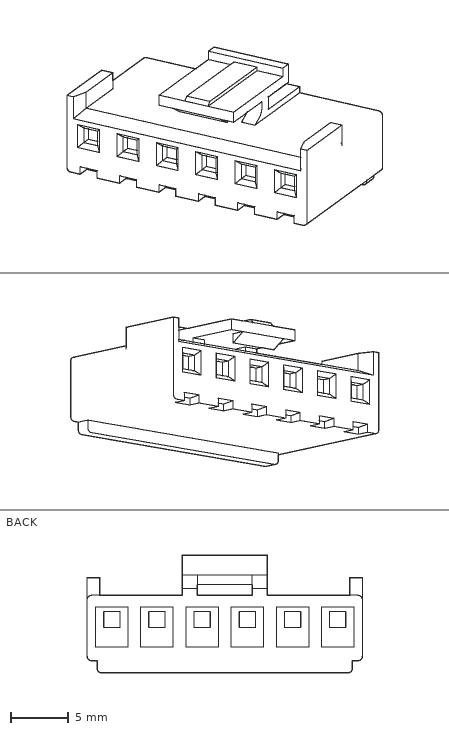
import cadquery as cq

WIDTH = 24.1
DEPTH = 13.5
DECK_HEIGHT = 5.73
EDGE_RADIUS = 0.4

WALL_HEIGHT = 7.28
WALL_LENGTH = 6.22
WALL_THICKNESS = 1.13
WALL_TIP_THICKNESS = 0.65

LEAD_IN_LENGTH = 1.45
LEAD_IN_DROP = 0.55

CONTACT_COUNT = 6
CONTACT_PITCH = 3.95
CONTACT_HEIGHT = 3.61
CONTACT_SIZE = 1.4
CONTACT_MOUTH = 2.2
MOUTH_DEPTH = 0.4
NECK_LENGTH = 0.8
CAVITY_WIDTH = 2.85
CAVITY_FLOOR = 1.2
CAVITY_CEILING = 4.7
NOTCH_WIDTH = 1.69
NOTCH_HEIGHT = 0.72
NOTCH_INNER_HEIGHT = 0.6
NOTCH_LENGTH = 1.2

LIP_WIDTH = 22.33
LIP_LENGTH = 1.28
LIP_DROP = 1.05

LATCH_WIDTH = 7.47
LEG_WIDTH = 1.35
RIB_TOP = 6.3
LEG_FRONT = 6.72
LEG_BACK = 7.9
LEG_TOE_FRONT = 5.47
LEG_TOE_BACK = 6.15
LEG_TOE_HEIGHT = 6.07
LEG_ARC_HEIGHT = 6.95
LEG_ARC_MID = (6.55, 6.4)
LEVER_FRONT = 1.69
LEVER_BACK = 11.5
LEVER_BOTTOM = 7.5
LEVER_TOP = 8.45
GRIP_LENGTH = 1.04
GRIP_TOP = 9.25
RIDGE_WIDTH = 2.31
RIDGE_HEIGHT = 0.34
CATCH_LENGTH = 1.28
CATCH_DROP = 0.82


def along_x(points, width):
    """Extrude a closed (y, z) outline across x, centred on x = 0."""
    return cq.Workplane("YZ").polyline(points).close().extrude(width / 2, both=True)


def block(width, y_range, z_range):
    """Box centred on x = 0 between the given y and z limits."""
    y0, y1 = y_range
    z0, z1 = z_range
    return cq.Workplane("XY").box(width, y1 - y0, z1 - z0, (True, False, False)).translate((0, y0, z0))


def housing():
    body = block(WIDTH, (0, DEPTH), (0, DECK_HEIGHT)).edges("|Y").fillet(EDGE_RADIUS)
    front = block(WIDTH, (0, WALL_LENGTH), (0, WALL_HEIGHT)).edges("|Y and <Z").fillet(EDGE_RADIUS)
    inner = WIDTH / 2 - WALL_THICKNESS
    inner_tip = WIDTH / 2 - WALL_TIP_THICKNESS
    channel = (
        cq.Workplane("XY", origin=(0, 0, DECK_HEIGHT - LEAD_IN_DROP))
        .polyline([
            (-inner_tip, 0), (inner_tip, 0), (inner, LEAD_IN_LENGTH),
            (inner, WALL_LENGTH), (-inner, WALL_LENGTH), (-inner, LEAD_IN_LENGTH),
        ])
        .close()
        .extrude(WALL_HEIGHT)
    )
    floor = along_x([
        (0, 0), (0, DECK_HEIGHT - LEAD_IN_DROP), (LEAD_IN_LENGTH, DECK_HEIGHT),
        (WALL_LENGTH, DECK_HEIGHT), (WALL_LENGTH, 0),
    ], WIDTH)
    rear = body.intersect(block(WIDTH, (WALL_LENGTH, DEPTH), (0, DECK_HEIGHT)))
    return rear.union(front.cut(channel.cut(floor)))


def rear_lip():
    lip = block(LIP_WIDTH, (DEPTH - LIP_LENGTH, DEPTH), (-LIP_DROP, EDGE_RADIUS))
    return lip.edges("|Y and <Z").fillet(EDGE_RADIUS)


def contact_opening():
    """Square passage with a flared mouth at the front and a larger cavity behind its neck."""
    passage = block(CONTACT_SIZE, (0, DEPTH), (-CONTACT_SIZE / 2, CONTACT_SIZE / 2))
    mouth = (
        cq.Workplane("XZ")
        .rect(CONTACT_MOUTH, CONTACT_MOUTH)
        .workplane(offset=-MOUTH_DEPTH)
        .rect(CONTACT_SIZE, CONTACT_SIZE)
        .loft(ruled=True)
    )
    cavity = block(CAVITY_WIDTH, (MOUTH_DEPTH + NECK_LENGTH, DEPTH), (CAVITY_FLOOR, CAVITY_CEILING))
    return passage.union(mouth).translate((0, 0, CONTACT_HEIGHT)).union(cavity)


def contact_notch():
    """Notch in the lower front edge, its ceiling falling slightly inwards."""
    outline = [(0, 0), (0, NOTCH_HEIGHT), (NOTCH_LENGTH, NOTCH_INNER_HEIGHT), (NOTCH_LENGTH, 0)]
    return along_x(outline, NOTCH_WIDTH)


def latch():
    leg_outline = (
        cq.Workplane("YZ")
        .moveTo(LEG_TOE_FRONT, DECK_HEIGHT)
        .lineTo(LEG_TOE_BACK, LEG_TOE_HEIGHT)
        .threePointArc(LEG_ARC_MID, (LEG_FRONT, LEG_ARC_HEIGHT))
        .lineTo(LEG_FRONT, LEVER_BOTTOM)
        .lineTo(LEG_BACK, LEVER_BOTTOM)
        .lineTo(LEG_BACK, RIB_TOP)
        .lineTo(DEPTH, RIB_TOP)
        .lineTo(DEPTH, DECK_HEIGHT)
        .close()
    )
    leg = leg_outline.extrude(LEG_WIDTH / 2, both=True)
    leg_offset = (LATCH_WIDTH - LEG_WIDTH) / 2
    lever = block(LATCH_WIDTH, (LEVER_FRONT, LEVER_BACK), (LEVER_BOTTOM, LEVER_TOP))
    grip_front = LEVER_BACK - GRIP_LENGTH
    grip = block(LATCH_WIDTH, (grip_front, LEVER_BACK), (LEVER_BOTTOM, GRIP_TOP))
    ridge_top = LEVER_TOP + RIDGE_HEIGHT
    ridge = along_x([
        (LEVER_FRONT, LEVER_TOP), (LEVER_FRONT + RIDGE_HEIGHT, ridge_top),
        (grip_front, ridge_top), (grip_front, LEVER_TOP),
    ], RIDGE_WIDTH)
    catch_back = LEVER_FRONT + CATCH_LENGTH
    catch = along_x([
        (LEVER_FRONT, LEVER_BOTTOM), (catch_back, LEVER_BOTTOM), (catch_back, LEVER_BOTTOM - CATCH_DROP),
    ], LATCH_WIDTH - 2 * LEG_WIDTH)
    assembly = lever.union(grip).union(ridge).union(catch)
    for side in (-1, 1):
        assembly = assembly.union(leg.translate((side * leg_offset, 0, 0)))
    return assembly


result = housing().union(rear_lip()).union(latch())
for index in range(CONTACT_COUNT):
    x = (index - (CONTACT_COUNT - 1) / 2) * CONTACT_PITCH
    result = result.cut(contact_opening().translate((x, 0, 0)))
    result = result.cut(contact_notch().translate((x, 0, 0)))